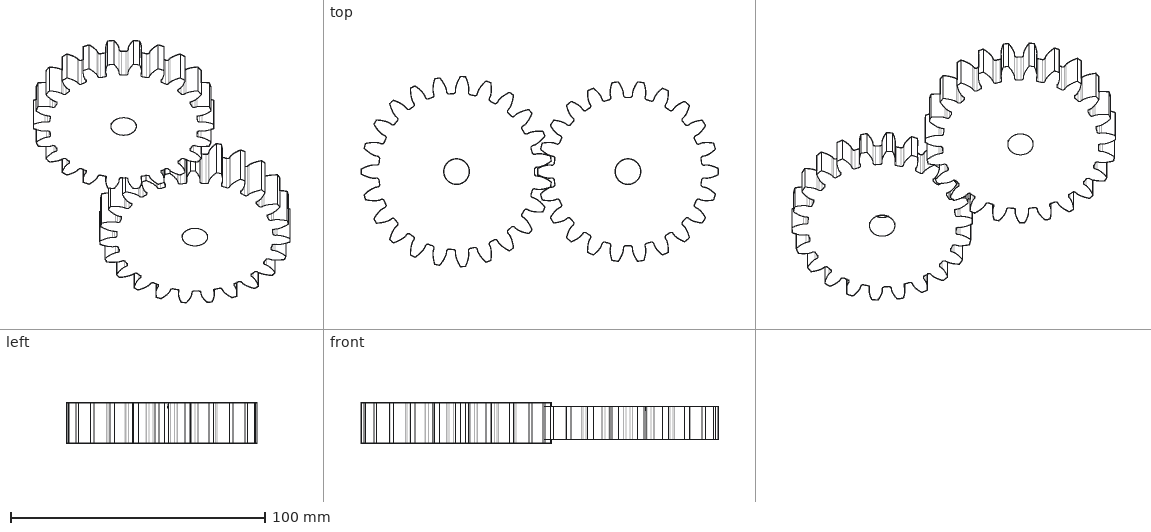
import cadquery as cq
import math

OVERALL_LENGTH = 140.5
CENTRE_DISTANCE = 67.5
LARGE_TEETH = 23
SMALL_TEETH = 22
MODULE = 2 * CENTRE_DISTANCE / (LARGE_TEETH + SMALL_TEETH)
PRESSURE_ANGLE = math.radians(20)
FLANK_CLEARANCE = 0.03
DEDENDUM_FACTOR = 1.25
DEDENDUM = DEDENDUM_FACTOR * MODULE
ROOT_FILLET = 0.8
CUTTER_OVERRUN = 0.7
FLANK_STEPS = 8

LARGE_TIP_RADIUS = 37.5
SMALL_TIP_RADIUS = OVERALL_LENGTH - CENTRE_DISTANCE - LARGE_TIP_RADIUS
LARGE_THICKNESS = 16.0
SMALL_THICKNESS = 13.1
BORE_DIAMETER = 10.0


def polar(radius, angle):
    return (radius * math.cos(angle), radius * math.sin(angle))


def involute(angle):
    return math.tan(angle) - angle


def tooth_gap(teeth, tip_radius, thickness):
    """Cutter for one gap on the +X axis: involute flanks, radial below the base circle."""
    pitch_radius = MODULE * teeth / 2
    base_radius = pitch_radius * math.cos(PRESSURE_ANGLE)
    root_radius = pitch_radius - DEDENDUM
    outer_radius = tip_radius + CUTTER_OVERRUN
    pitch_half_angle = math.pi / (2 * teeth) + FLANK_CLEARANCE / pitch_radius
    base_half_angle = pitch_half_angle - involute(PRESSURE_ANGLE)

    upper_flank = []
    for step in range(FLANK_STEPS + 1):
        radius = base_radius + (outer_radius - base_radius) * (step / FLANK_STEPS) ** 2
        half_angle = base_half_angle + involute(math.acos(base_radius / radius))
        upper_flank.append(polar(radius, half_angle))
    lower_flank = [(x, -y) for x, y in upper_flank]

    return (
        cq.Workplane("XY", origin=(0, 0, -thickness / 2))
        .moveTo(*polar(root_radius, base_half_angle))
        .lineTo(*upper_flank[0])
        .spline(upper_flank[1:], includeCurrent=True)
        .lineTo(*lower_flank[-1])
        .spline(lower_flank[-2::-1], includeCurrent=True)
        .lineTo(*polar(root_radius, -base_half_angle))
        .threePointArc((root_radius, 0), polar(root_radius, base_half_angle))
        .close()
        .extrude(thickness)
        .edges(cq.selectors.BoxSelector(
            (0, -tip_radius, -thickness),
            ((root_radius + base_radius) / 2, tip_radius, thickness),
        ))
        .edges("|Z")
        .fillet(ROOT_FILLET)
    )


def spur_gear(teeth, tip_radius, thickness, first_gap_angle):
    """Bored spur gear, centred on the origin, with one gap at first_gap_angle degrees."""
    gear = (
        cq.Workplane("XY", origin=(0, 0, -thickness / 2))
        .circle(tip_radius)
        .circle(BORE_DIAMETER / 2)
        .extrude(thickness)
    )
    gap = tooth_gap(teeth, tip_radius, thickness)
    for index in range(teeth):
        angle = first_gap_angle + index * 360 / teeth
        gear = gear.cut(gap.rotate((0, 0, 0), (0, 0, 1), angle))
    return gear.solids()


large_gear = spur_gear(LARGE_TEETH, LARGE_TIP_RADIUS, LARGE_THICKNESS, 0)
small_gear = spur_gear(SMALL_TEETH, SMALL_TIP_RADIUS, SMALL_THICKNESS, 180 / SMALL_TEETH)
small_gear = small_gear.translate((CENTRE_DISTANCE, 0, 0))

result = cq.Compound.makeCompound([large_gear.val(), small_gear.val()])